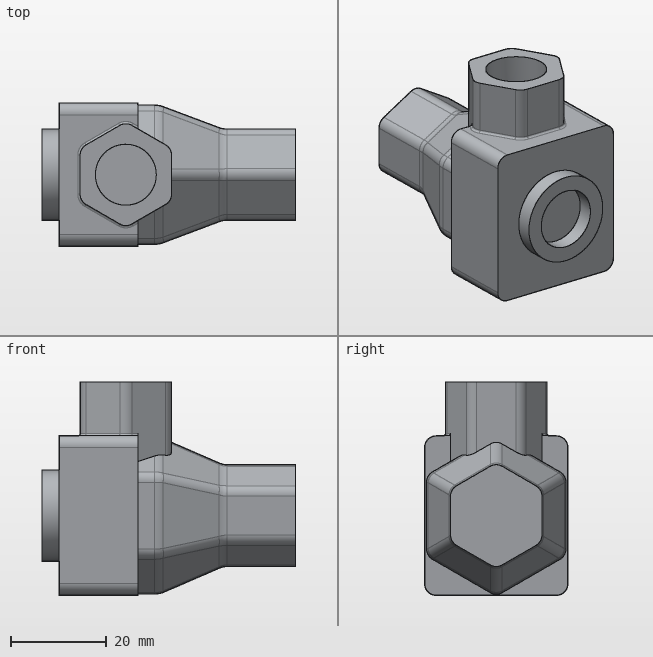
import cadquery as cq
import math

total_length = 53.1

block_start = 3.6
block_length = 16.45
block_width = 30.0
block_height = 33.4
block_end = block_start + block_length
block_top = block_height / 2

port_size = 19.1
corner_radius = 2.5
bore_diameter = 12.75

port_rise = 11.25
port_x = 17.55
port_top = block_top + port_rise
port_bore_depth = 6.35
port_base_radius = 0.5

wide_size = 29.15
taper_start = 24.5
taper_end = 37.85
taper_blend_radius = 5.0


def make_block():
    """Block with its four long edges rounded."""
    block = cq.Workplane("YZ", origin=(block_start, 0, 0)).rect(block_width, block_height).extrude(block_length)
    return block.edges("|X").fillet(corner_radius)


def make_port():
    """Hexagonal column rising from the X axis, with flats facing -X and +X and rounded corners."""
    port_corners = port_size / math.cos(math.pi / 6)
    port = (
        cq.Workplane("XY", origin=(port_x, 0, 0))
        .transformed(rotate=(0, 0, 90))
        .polygon(6, port_corners)
        .extrude(port_top)
    )
    return port.edges("|Z").fillet(corner_radius)


def make_block_with_port():
    """Block and port joined, with a small fillet where the port meets the top of the block."""
    joined = make_block().union(make_port())
    around_port_base = cq.selectors.BoxSelector(
        (block_start + port_base_radius, -port_size, block_top - port_base_radius),
        (block_end - port_base_radius, port_size, block_top + port_base_radius),
    )
    port_base = joined.edges("#Z").edges(around_port_base)
    return port_base.fillet(port_base_radius)


def make_reducer():
    """Hexagonal body tapering from the wide end to the narrow end, with flats facing -Y and +Y."""
    half_profile = [
        (block_start, 0),
        (block_start, wide_size / 2),
        (taper_start, wide_size / 2),
        (taper_end, port_size / 2),
        (total_length, port_size / 2),
        (total_length, 0),
    ]
    slab = cq.Workplane("XY").polyline(half_profile).close().extrude(wide_size, both=True)
    slab = slab.union(slab.mirror("XZ"))
    around_taper = cq.selectors.BoxSelector(
        (block_end, -wide_size, -wide_size),
        (total_length - taper_blend_radius, wide_size, wide_size),
    )
    bend_edges = slab.edges("|Z").edges(around_taper)
    slab = bend_edges.fillet(taper_blend_radius)

    body = slab
    for angle in (60, 120):
        body = body.intersect(slab.rotate((0, 0, 0), (1, 0, 0), angle))
    return body.edges("not #X").fillet(corner_radius)


def make_spigot():
    """Round spigot on the face of the block."""
    return cq.Workplane("YZ").circle(port_size / 2).extrude(block_end)


def make_bores():
    """Blind bores: one down the port, one through the spigot down to the face of the block."""
    port_bore = (
        cq.Workplane("XY", origin=(port_x, 0, port_top)).circle(bore_diameter / 2).extrude(-port_bore_depth)
    )
    spigot_bore = cq.Workplane("YZ").circle(bore_diameter / 2).extrude(block_start)
    return port_bore.union(spigot_bore)


result = make_block_with_port().union(make_reducer()).union(make_spigot()).cut(make_bores())